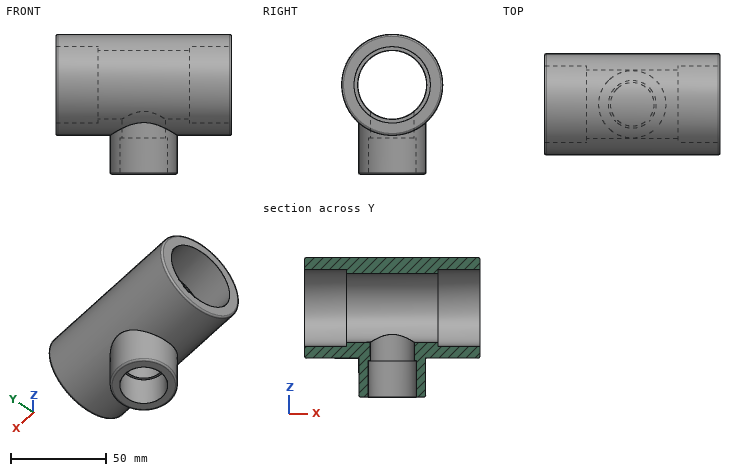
import cadquery as cq

run_length = 92.0
run_diameter = 53.0
run_socket_diameter = 40.0
run_bore_diameter = 36.0
run_socket_depth = 22.0

branch_diameter = 35.2
branch_socket_diameter = 25.0
branch_bore_diameter = 22.8
branch_socket_depth = 19.0

overall_height = 73.3
rim_radius = 1.0

branch_reach = overall_height - run_diameter / 2


def run_cylinder(diameter, length):
    """Cylinder on the X axis, centred on the origin."""
    return cq.Workplane("YZ").workplane(offset=-length / 2).circle(diameter / 2).extrude(length)


def branch_cylinder(diameter, length):
    """Vertical cylinder that rises from the branch mouth."""
    return cq.Workplane("XY").workplane(offset=-branch_reach).circle(diameter / 2).extrude(length)


run = run_cylinder(run_diameter, run_length).faces("<X or >X").edges().fillet(rim_radius)
branch = branch_cylinder(branch_diameter, branch_reach).faces("<Z").edges().fillet(rim_radius)
body = run.union(branch)

body = body.cut(run_cylinder(run_bore_diameter, run_length))
run_socket = cq.Workplane("YZ").circle(run_socket_diameter / 2).extrude(run_socket_depth)
for socket_start in (-run_length / 2, run_length / 2 - run_socket_depth):
    body = body.cut(run_socket.translate((socket_start, 0, 0)))

body = body.cut(branch_cylinder(branch_bore_diameter, branch_reach))
body = body.cut(branch_cylinder(branch_socket_diameter, branch_socket_depth))

result = body